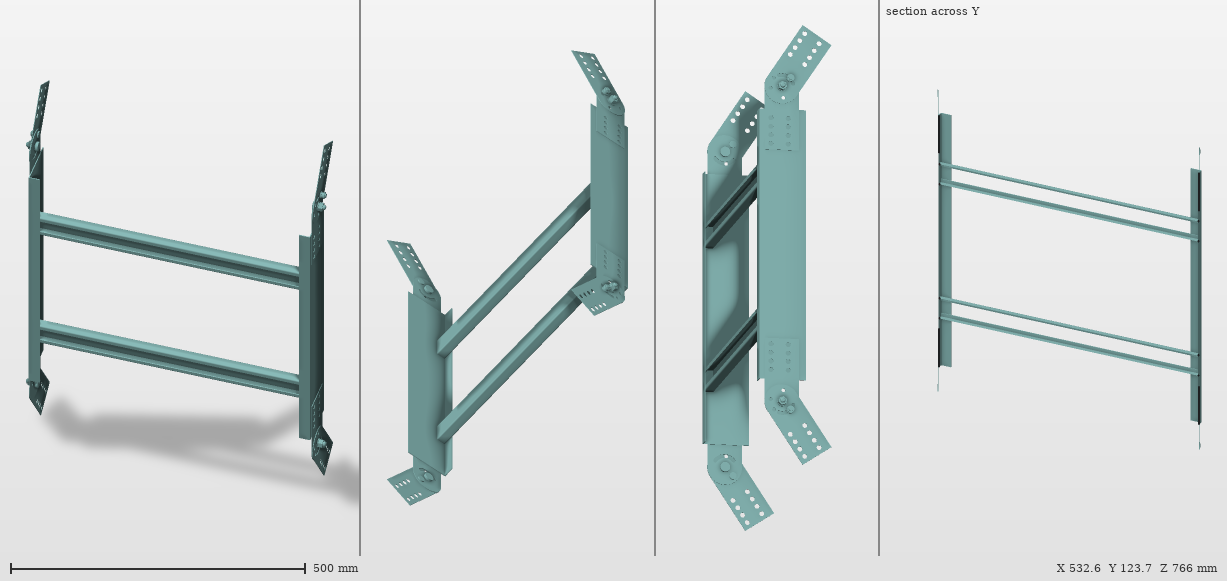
import cadquery as cq
import math

ladder_width = 500.0
rail_length = 470.0
rail_depth = 80.5
rail_flange = 20.0
rail_sheet = 1.5

rung_height = 39.0
rung_depth = 17.5
rung_sheet = 1.5
rung_bend = 2.0
rung_lip = 8.0
rung_pitch = 250.5

plate_thickness = 1.15
plate_width = 60.0
plate_reach = 110.0
pivot_y = 38.0
total_height = 766.0
swing_angle = 33.5

hole_diameter = 8.5
hole_columns = 30.0
hole_pitch = hole_columns / 2
hole_rows = 4
hole_offset = 4.0
first_hole = 55.0

bolt_circle = 20.0
slot_width = 6.4
swing_slot_angles = (75, 165)
arm_slot_angles = (220, 325)
stop_hole_diameter = 6.4
stop_hole_angles = (47, 262, 350)
clamp_angle = 135

pivot_washer = ((1.5, 17.0),)
pivot_nut_height = 8.0
pivot_nut_corners = 15.0
pivot_nut_turn = 20
pivot_stud_end = 4.5
pivot_stud_diameter = 8.5
pivot_stud_chamfer = 1.5
pivot_head = ((1.5, 12.0), (4.5, 17.0))
clamp_diameter = 6.0
clamp_outside = ((2.0, 12.0), (4.0, 10.0), (1.5, 12.0), (2.0, 8.0))
clamp_head = ((2.0, 12.0),)

rail_face = ladder_width / 2
plates_face = 2 * plate_thickness
end_reach = plate_reach * math.cos(math.radians(swing_angle))
corner_reach = plate_width / 2 * math.sin(math.radians(swing_angle))
pivot_z = total_height / 2 - end_reach - corner_reach


def side_rail():
    """Left side rail: an angle with its web outside and its flange in front."""
    web = cq.Workplane("XY").box(rail_sheet, rail_depth, rail_length, centered=(False, False, True))
    flange = cq.Workplane("XY").box(rail_flange, rail_sheet, rail_length, centered=(False, False, True))
    return web.union(flange).translate((-rail_face, 0, 0))


def rung():
    """Lipped channel between the two webs, behind the flanges and open to the front."""
    span = ladder_width - 2 * rail_sheet
    bar = (
        cq.Workplane("XY")
        .box(span, rung_depth, rung_height, centered=(True, False, True))
        .edges("|X")
        .fillet(rung_bend)
    )
    inside = (
        cq.Workplane("XY")
        .box(
            span,
            rung_depth - 2 * rung_sheet,
            rung_height - 2 * rung_sheet,
            centered=(True, False, True),
        )
        .translate((0, rung_sheet, 0))
    )
    opening = cq.Workplane("XY").box(
        span, rung_sheet, rung_height - 2 * rung_lip, centered=(True, False, True)
    )
    return bar.cut(inside).cut(opening).translate((0, rail_sheet, 0))


def ladder():
    """Both rails and both rungs as one welded body."""
    left = side_rail()
    frame = left.union(left.mirror("YZ"))
    for z in (-rung_pitch / 2, rung_pitch / 2):
        frame = frame.union(rung().translate((0, 0, z)))
    return frame


def outward(distance):
    """Workplane parallel to the plates, seen from outside: its x is -Y and its y is Z."""
    return cq.Workplane(cq.Plane(origin=(-distance, 0, 0), xDir=(0, -1, 0), normal=(-1, 0, 0)))


def around(radius, angle):
    """Point on a circle about the pivot, in the coordinates of outward()."""
    a = math.radians(angle)
    return (radius * math.cos(a), radius * math.sin(a))


def plate(distance):
    """Blank of both plates: round at the pivot, square below, with two columns of holes."""
    half = plate_width / 2
    blank = (
        outward(distance)
        .moveTo(half, 0)
        .threePointArc((0, half), (-half, 0))
        .lineTo(-half, -plate_reach)
        .lineTo(half, -plate_reach)
        .close()
        .extrude(plate_thickness)
    )
    points = [
        (hole_offset + side * hole_columns / 2, -first_hole - row * hole_pitch)
        for side in (-1, 1)
        for row in range(hole_rows)
    ]
    holes = outward(distance).pushPoints(points).circle(hole_diameter / 2).extrude(plate_thickness)
    return blank.cut(holes)


def curved_slot(distance, angles):
    """Round-ended slot through one plate, along the bolt circle."""
    start, end = angles
    middle = (start + end) / 2
    inner = bolt_circle - slot_width / 2
    outer = bolt_circle + slot_width / 2
    end_cap = math.degrees(slot_width / 2 / bolt_circle)
    return (
        outward(distance)
        .moveTo(*around(inner, start))
        .threePointArc(around(inner, middle), around(inner, end))
        .threePointArc(around(bolt_circle, end + end_cap), around(outer, end))
        .threePointArc(around(outer, middle), around(outer, start))
        .threePointArc(around(bolt_circle, start - end_cap), around(inner, start))
        .close()
        .extrude(plate_thickness)
    )


def fixed_arm():
    """Inner plate, flat against the rail."""
    return plate(0).cut(curved_slot(0, arm_slot_angles))


def swing_arm():
    """Outer plate: the same blank turned upwards and leaning back."""
    arm = plate(plate_thickness).mirror("XY").rotate((0, 0, 0), (1, 0, 0), -swing_angle)
    stop_holes = (
        outward(plate_thickness)
        .pushPoints([around(bolt_circle, angle) for angle in stop_hole_angles])
        .circle(stop_hole_diameter / 2)
        .extrude(plate_thickness)
    )
    return arm.cut(stop_holes).cut(curved_slot(plate_thickness, swing_slot_angles))


def disc(center, distance, length, diameter):
    """Round disc on one axis; a negative length runs inwards."""
    return outward(distance).center(*center).circle(diameter / 2).extrude(length)


def stack(center, distance, direction, sizes):
    """Discs on one axis, each starting where the one before ends; direction 1 is outwards."""
    length, diameter = sizes[0]
    discs = disc(center, distance, direction * length, diameter)
    for next_length, diameter in sizes[1:]:
        distance += direction * length
        length = next_length
        discs = discs.union(disc(center, distance, direction * length, diameter))
    return discs


def pivot_bolt():
    """Bolt through the pivot, its nut and chamfered end outside."""
    axis = (0, 0)
    nut_base = plates_face + sum(length for length, _ in pivot_washer)
    nut_top = nut_base + pivot_nut_height
    nut = (
        outward(nut_base)
        .transformed(rotate=(0, 0, pivot_nut_turn))
        .polygon(6, pivot_nut_corners)
        .extrude(pivot_nut_height)
    )
    stud = disc(axis, 0, nut_top + pivot_stud_end, pivot_stud_diameter)
    stud = stud.faces("<X").chamfer(pivot_stud_chamfer)
    washer = stack(axis, plates_face, 1, pivot_washer)
    head = stack(axis, 0, -1, pivot_head)
    return stud.union(washer).union(nut).union(head)


def clamp_bolt():
    """Bolt through the slot of the outer plate that fixes the angle."""
    axis = around(bolt_circle, clamp_angle)
    shank = disc(axis, 0, plates_face, clamp_diameter)
    outside = stack(axis, plates_face, 1, clamp_outside)
    head = stack(axis, 0, -1, clamp_head)
    return shank.union(outside).union(head)


def joint():
    """Left upper joint, placed on the outer face of the left rail."""
    body = fixed_arm().union(swing_arm()).union(pivot_bolt()).union(clamp_bolt())
    return body.translate((-rail_face, pivot_y, pivot_z))


def joints():
    """One joint at each end of each rail, mirrored from the left upper one."""
    upper_left = joint()
    lower_left = upper_left.mirror("XY")
    return [
        upper_left,
        lower_left,
        upper_left.mirror("YZ"),
        lower_left.mirror("YZ"),
    ]


result = cq.Compound.makeCompound([ladder().val(), *[body.val() for body in joints()]])